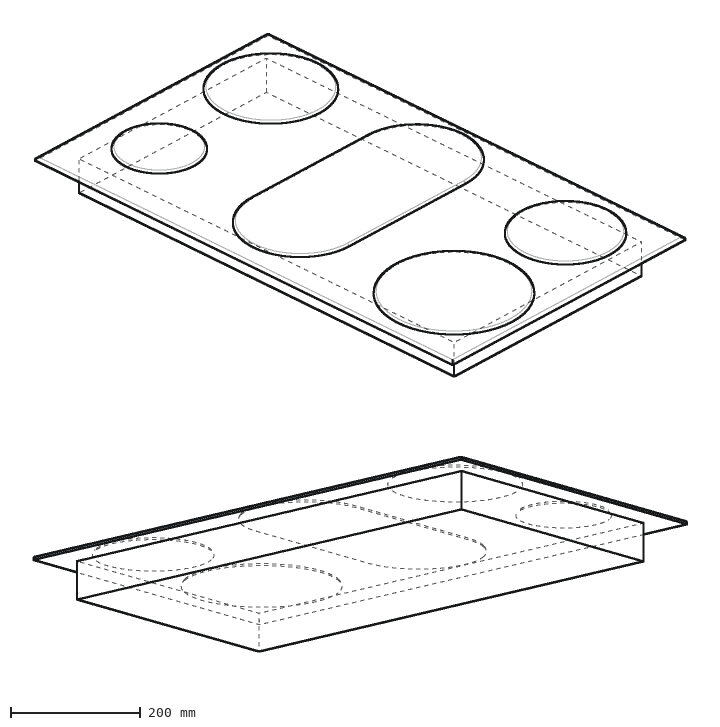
import cadquery as cq

plate_length = 890.0
plate_width = 520.0
total_height = 71.0
plate_thickness = 5.9
plate_edge_radius = 4.5
zone_height = 4.0
zone_edge_radius = 3.9

housing_length = 800.0
housing_width = 418.0
housing_height = total_height - plate_thickness - zone_height
plate_top = housing_height + plate_thickness

left_column = -324.0
right_column = 304.0
rear_row = 140.0
front_row = -109.5
round_zones = [
    (left_column, rear_row, 200.0),
    (left_column, front_row, 140.0),
    (right_column, rear_row, 180.0),
    (right_column, front_row, 240.0),
]

oval_x = -14.0
oval_y = 11.0
oval_width = 200.0
oval_length = 460.0


def make_block(length, width, height, bottom):
    """Rectangular block centered on the Z axis."""
    return cq.Workplane("XY").workplane(offset=bottom).rect(length, width).extrude(height)


def zone_plane(x, y):
    """Workplane on top of the plate, centered on one cooking zone."""
    return cq.Workplane("XY").workplane(offset=plate_top).center(x, y)


def raise_zone(outline):
    """Extrude a zone outline and round its upper rim."""
    return outline.extrude(zone_height).faces(">Z").edges().fillet(zone_edge_radius)


def make_round_zone(x, y, top_diameter):
    """Raised disc."""
    return raise_zone(zone_plane(x, y).circle(top_diameter / 2 + zone_edge_radius))


def make_oval_zone():
    """Raised pad with semicircular ends."""
    rim = 2 * zone_edge_radius
    return raise_zone(zone_plane(oval_x, oval_y).slot2D(oval_length + rim, oval_width + rim, 90))


housing = make_block(housing_length, housing_width, housing_height, 0)
plate = make_block(plate_length, plate_width, plate_thickness, housing_height)
plate = plate.faces(">Z").edges().fillet(plate_edge_radius)

result = housing.union(plate).union(make_oval_zone())
for zone_x, zone_y, zone_diameter in round_zones:
    result = result.union(make_round_zone(zone_x, zone_y, zone_diameter))